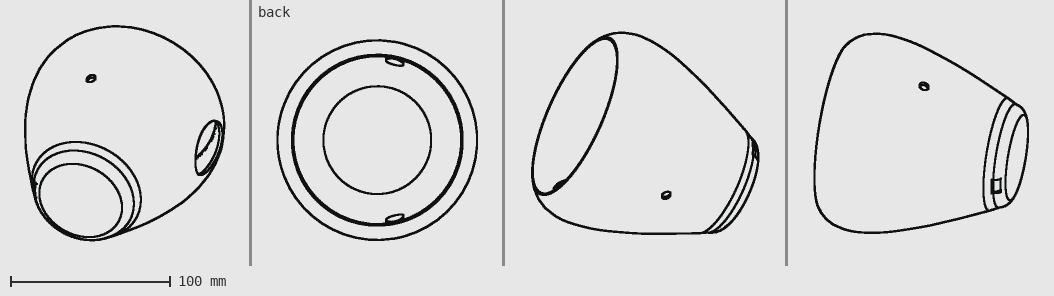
import cadquery as cq


TOTAL_LENGTH = 116.8
MAX_RADIUS = 62.5
WALL = 2.0
CAP_WALL = 1.5
CAP_JOINT_Y = 6.5
DISC_JOINT_Y = 12.0
CAP_JOINT_RADIUS = 32.9
DISC_JOINT_RADIUS = 35.8
CAP_FACE_RADIUS = 27.1
CAP_EDGE_MID_RADIUS = 31.2
CAP_EDGE_MID_Y = 2.9
REAR_RADIUS = 53.5
REAR_OPENING_DIAMETER = 105.0

HOUSING_CURVE = [
    (45.2, 33.9),
    (50.8, 47.4),
    (55.4, 60.9),
    (59.5, 74.5),
    (62.0, 88.0),
    (MAX_RADIUS, 97.2),
    (60.2, 108.2),
]

SIDE_HOLE_DIAMETER = 35.0
SIDE_HOLE_Y = 79.8
SMALL_HOLE_DIAMETER = 5.5
SMALL_HOLE_X = -11.0
SMALL_HOLE_Y = 57.1
PAD_DIAMETER = 2 * SMALL_HOLE_DIAMETER
SLOT_WIDTH = 10.4
SLOT_START_Y = 2.2
SLOT_END_Y = 7.4
NOTCH_FLOOR_RADIUS = 31.9


def revolve_about_y(profile):
    return profile.close().revolve(360, (0, 0, 0), (0, 1, 0))


def cone_solid():
    """Solid piece of the front cone between the two joints."""
    profile = (
        cq.Workplane("XY")
        .moveTo(0, CAP_JOINT_Y)
        .lineTo(CAP_JOINT_RADIUS, CAP_JOINT_Y)
        .lineTo(DISC_JOINT_RADIUS, DISC_JOINT_Y)
        .lineTo(0, DISC_JOINT_Y)
    )
    return revolve_about_y(profile)


def housing_solid(inset, rear_radius):
    """Solid housing shape, shrunk radially by inset, ending at rear_radius."""
    curve = [(radius - inset, y) for radius, y in HOUSING_CURVE]
    profile = (
        cq.Workplane("XY")
        .moveTo(0, DISC_JOINT_Y)
        .lineTo(DISC_JOINT_RADIUS - inset, DISC_JOINT_Y)
        .spline(curve + [(rear_radius, TOTAL_LENGTH)], includeCurrent=True)
        .lineTo(0, TOTAL_LENGTH)
    )
    return revolve_about_y(profile)


def vertical_rod(diameter):
    """Rod through the full height at the small hole position."""
    return (
        cq.Workplane("XY", origin=(SMALL_HOLE_X, SMALL_HOLE_Y, 0))
        .circle(diameter / 2)
        .extrude(MAX_RADIUS, both=True)
    )


def make_housing():
    outer = housing_solid(0, REAR_RADIUS)
    cavity = housing_solid(WALL, REAR_OPENING_DIAMETER / 2)
    pad_floor = housing_solid(2 * WALL, REAR_OPENING_DIAMETER / 2 - WALL)

    pads = vertical_rod(PAD_DIAMETER).intersect(cavity).cut(pad_floor)
    small_holes = vertical_rod(SMALL_HOLE_DIAMETER).cut(cavity)

    side_hole = (
        cq.Workplane("YZ")
        .center(SIDE_HOLE_Y, 0)
        .circle(SIDE_HOLE_DIAMETER / 2)
        .extrude(2 * MAX_RADIUS)
    )
    return outer.cut(cavity).union(pads).cut(small_holes).cut(side_hole)


def make_slot():
    """Cutter for the slot across the cap and disc, from the axis out to -X."""
    return (
        cq.Workplane("XY")
        .box(MAX_RADIUS, SLOT_END_Y - SLOT_START_Y, SLOT_WIDTH)
        .translate((-MAX_RADIUS / 2, (SLOT_START_Y + SLOT_END_Y) / 2, 0))
    )


def make_disc():
    """Disc closing the front of the housing, notched by the slot."""
    core = cq.Workplane("XZ").circle(NOTCH_FLOOR_RADIUS).extrude(-DISC_JOINT_Y)
    notch = make_slot().cut(core)
    return cone_solid().cut(notch)


def cap_solid(inset):
    """Rounded cap shape, shrunk by inset radially and at the front."""
    profile = (
        cq.Workplane("XY")
        .moveTo(0, inset)
        .lineTo(CAP_FACE_RADIUS - inset, inset)
        .threePointArc(
            (CAP_EDGE_MID_RADIUS - inset, CAP_EDGE_MID_Y + inset / 2),
            (CAP_JOINT_RADIUS - inset, CAP_JOINT_Y),
        )
        .lineTo(0, CAP_JOINT_Y)
    )
    return revolve_about_y(profile)


def make_cap():
    """Hollow rounded cap with a slot through its -X wall."""
    head = cap_solid(0)
    cavity = cap_solid(CAP_WALL)
    wall_slot = make_slot().cut(
        cq.Workplane("XZ").circle(CAP_FACE_RADIUS - CAP_WALL).extrude(-CAP_JOINT_Y)
    )
    return head.cut(cavity).cut(wall_slot)


housing = make_housing()
disc = make_disc()
cap = make_cap()

result = cq.Compound.makeCompound([housing.val(), disc.val(), cap.val()])